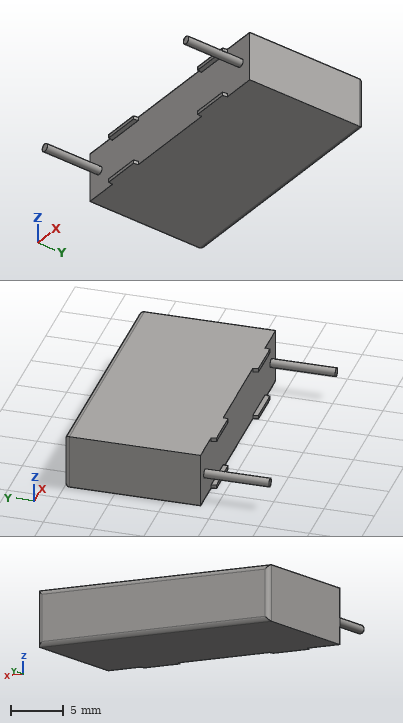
import cadquery as cq

CASE_WIDTH = 25.5
CASE_THICKNESS = 5.5
CASE_DEPTH = 13.52
BACK_FILLET = 0.45

FOOT_LENGTH = 0.5
FOOT_THICKNESS = 0.38
FOOT_ROOT_WIDTH = 4.15
FOOT_TIP_WIDTH = 3.95
FOOT_SPACING = 14.2

LEAD_DIAMETER = 0.87
LEAD_SPACING = 22.52
LEAD_LENGTH = 6.48

FRONT_Y = -CASE_DEPTH / 2


def make_foot(center_x, bottom_z):
    """Tapered foot, widest where it leaves the front face of the case."""
    tip_y = FRONT_Y - FOOT_LENGTH
    return (
        cq.Workplane("XY", origin=(center_x, 0, bottom_z))
        .moveTo(-FOOT_ROOT_WIDTH / 2, FRONT_Y)
        .lineTo(-FOOT_TIP_WIDTH / 2, tip_y)
        .lineTo(FOOT_TIP_WIDTH / 2, tip_y)
        .lineTo(FOOT_ROOT_WIDTH / 2, FRONT_Y)
        .close()
        .extrude(FOOT_THICKNESS)
    )


def make_case():
    """Box with a rounded back face and four feet flush with its broad faces."""
    case = cq.Workplane("XY").box(CASE_WIDTH, CASE_DEPTH, CASE_THICKNESS)
    case = case.faces(">Y").edges().fillet(BACK_FILLET)
    lower_foot_z = -CASE_THICKNESS / 2
    upper_foot_z = CASE_THICKNESS / 2 - FOOT_THICKNESS
    for side in (-1, 1):
        for bottom_z in (lower_foot_z, upper_foot_z):
            case = case.union(make_foot(side * FOOT_SPACING / 2, bottom_z))
    return case


def make_lead(center_x):
    """Straight round lead that starts on the front face of the case."""
    front_plane = cq.Plane(origin=(center_x, FRONT_Y, 0), xDir=(0, 0, 1), normal=(0, -1, 0))
    return cq.Workplane(front_plane).circle(LEAD_DIAMETER / 2).extrude(LEAD_LENGTH)


case = make_case()
leads = [make_lead(side * LEAD_SPACING / 2) for side in (-1, 1)]

result = cq.Compound.makeCompound([case.val(), *[lead.val() for lead in leads]])